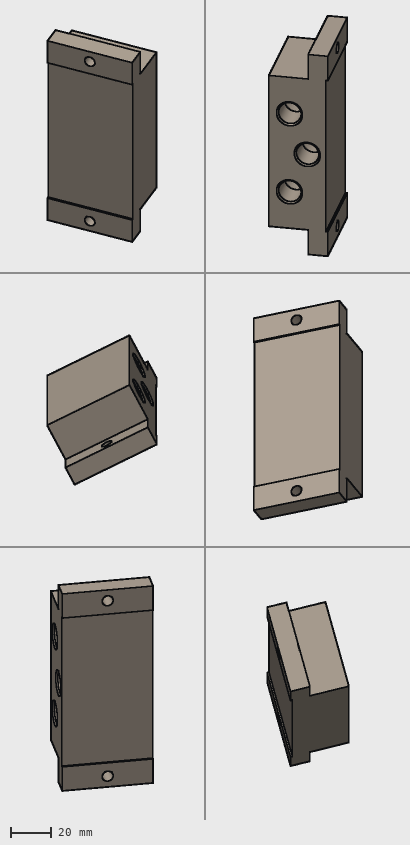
import cadquery as cq
import math

width = 46.0
depth = 30.0
height = 110.0

body_height = 83.0
flange_height = (height - body_height) / 2
flange_thickness = 10.0
front_recess = 1.0

mount_diameter = 5.5
mount_end_distance = 6.0

port_diameter = 11.4
port_mouth_diameter = 13.2
port_depth = 15.0
drill_point_angle = 118.0
port_pitch_z = 21.5
center_port_y = 10.5
outer_port_y = 19.5


def make_block():
    """Full block, cut back behind both flanges and thinly recessed between them."""
    block = cq.Workplane("XY").box(width, depth, height, centered=(True, False, True))
    recess = cq.Workplane("XY").box(width, front_recess, body_height, centered=(True, False, True))
    block = block.cut(recess)
    for end in (-1, 1):
        step = (
            cq.Workplane("XY")
            .box(width, depth - flange_thickness, flange_height, centered=(True, False, True))
            .translate((0, flange_thickness, end * (height - flange_height) / 2))
        )
        block = block.cut(step)
    return block


def make_mount_hole(z):
    """Plain cylinder along Y through a flange."""
    radius = mount_diameter / 2
    start = cq.Vector(0, 0, z)
    cylinder = cq.Solid.makeCylinder(radius, flange_thickness, start, cq.Vector(0, 1, 0))
    return cq.Workplane(cylinder)


def make_port(y, z):
    """Blind port along +X: 45 degree countersunk mouth, straight bore and conical drill point."""
    radius = port_diameter / 2
    mouth_radius = port_mouth_diameter / 2
    chamfer_depth = mouth_radius - radius
    point_depth = radius / math.tan(math.radians(drill_point_angle / 2))
    profile = (
        cq.Workplane("XY")
        .moveTo(0, 0)
        .lineTo(0, mouth_radius)
        .lineTo(chamfer_depth, radius)
        .lineTo(port_depth, radius)
        .lineTo(port_depth + point_depth, 0)
        .close()
    )
    return profile.revolve(360, (0, 0, 0), (1, 0, 0)).translate((-width / 2, y, z))


result = make_block()

mount_z = height / 2 - mount_end_distance
for z in (-mount_z, mount_z):
    result = result.cut(make_mount_hole(z))

port_centers = [
    (outer_port_y, -port_pitch_z),
    (center_port_y, 0),
    (outer_port_y, port_pitch_z),
]
for y, z in port_centers:
    result = result.cut(make_port(y, z))